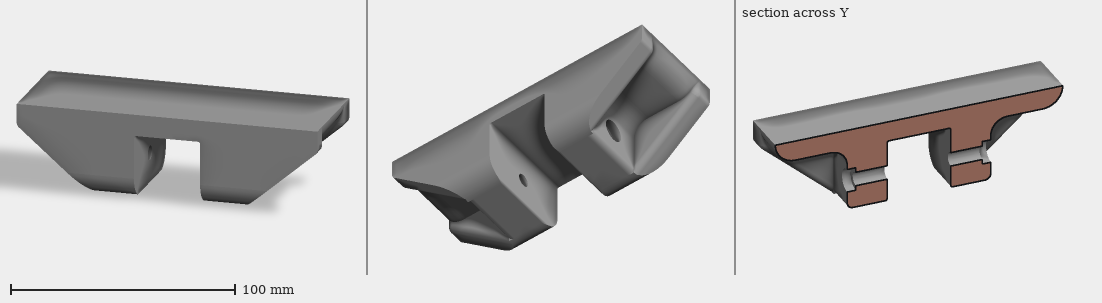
import cadquery as cq

length = 140.0
width = 50.0
height = 40.0
half_length = length / 2
half_width = width / 2

slab_thickness = 10.0
end_height = 10.1
foot_half_length = 35.0
end_corner_radius = 2.8
bottom_side_radius = 10.0

slot_half_width = 15.4
slot_corner_radius = 1.0
selection_margin = 1.4

pocket_half_width = half_width - bottom_side_radius
rim_radius = 3.0
pocket_wall_x = foot_half_length
ceiling_nose_radius = slab_thickness
ceiling_inner_radius = 8.0

hole_diameter = 6.6
counterbore_diameter = 11.2
counterbore_depth = 4.2
hole_z = -25.8


def side_prism(outline, y_min, y_max):
    """Extrude a closed XZ outline between two Y positions."""
    return outline.extrude(y_max - y_min).translate((0, y_max, 0))


def make_center():
    """Slab and two webs between the pocket walls, with the central slot."""
    block = cq.Workplane("XY").box(2 * pocket_wall_x, width, height, centered=(True, True, False))
    block = block.translate((0, 0, -height))
    slot_height = height - slab_thickness
    slot = cq.Workplane("XY").box(2 * slot_half_width, width, slot_height, centered=(True, True, False))
    block = block.cut(slot.translate((0, 0, -height)))
    slot_edges = cq.selectors.BoxSelector(
        (-slot_half_width - selection_margin, -width, -height - selection_margin),
        (slot_half_width + selection_margin, width, -slab_thickness + selection_margin),
    )
    block = block.edges("|Y").edges(slot_edges).fillet(slot_corner_radius)
    wedge_outline = (
        cq.Workplane("XZ")
        .moveTo(-pocket_wall_x, -height)
        .lineTo(-pocket_wall_x, -height + rim_radius)
        .radiusArc((-pocket_wall_x + rim_radius, -height), -rim_radius)
        .close()
    )
    wedge = side_prism(wedge_outline, -pocket_half_width, pocket_half_width)
    return block.cut(wedge).cut(wedge.mirror("YZ"))


def make_cheek():
    """Side cheek at the -X, +Y corner, with its sloping inner rim rounded."""
    slope = (height - end_height) / (half_length - foot_half_length)
    slope_end_z = -end_height - slope * (half_length - slot_half_width)
    outline = (
        cq.Workplane("XZ")
        .moveTo(-half_length, 0)
        .lineTo(-slot_half_width, 0)
        .lineTo(-slot_half_width, slope_end_z)
        .lineTo(-half_length, -end_height)
        .close()
    )
    cheek = side_prism(outline, pocket_half_width, half_width)
    cheek_mid_y = (pocket_half_width + half_width) / 2
    corner = cq.selectors.NearestToPointSelector((-half_length, cheek_mid_y, -end_height))
    cheek = cheek.edges("|Y").edges(corner).fillet(end_corner_radius)
    end_edge = cq.selectors.NearestToPointSelector((-half_length, pocket_half_width, -end_height / 2))
    cheek = cheek.edges(end_edge).fillet(rim_radius)
    trim = cq.Workplane("XY").box(half_length - pocket_wall_x, width, height, centered=False)
    return cheek.intersect(trim.translate((-half_length, 0, -height)))


def make_ceiling():
    """Pocket ceiling at the -X end, curving up to the tip and down to the web."""
    outline = (
        cq.Workplane("XZ")
        .moveTo(-half_length, 0)
        .radiusArc((-half_length + ceiling_nose_radius, -slab_thickness), -ceiling_nose_radius)
        .lineTo(-pocket_wall_x - ceiling_inner_radius, -slab_thickness)
        .radiusArc((-pocket_wall_x, -slab_thickness - ceiling_inner_radius), ceiling_inner_radius)
        .lineTo(-pocket_wall_x, 0)
        .close()
    )
    reach = pocket_half_width + rim_radius
    return side_prism(outline, -reach, reach)


def make_envelope():
    """Full-length block with its two long bottom edges rounded."""
    block = cq.Workplane("XY").box(length, width, height, centered=(True, True, False))
    return block.translate((0, 0, -height)).edges("|X and <Z").fillet(bottom_side_radius)


def make_holes():
    """Through hole along X with a counterbore in each pocket wall."""
    start = cq.Workplane("YZ", origin=(-pocket_wall_x, 0, hole_z))
    tool = start.circle(hole_diameter / 2).extrude(2 * pocket_wall_x)
    bore = start.circle(counterbore_diameter / 2).extrude(counterbore_depth)
    return tool.union(bore).union(bore.mirror("YZ"))


cheek = make_cheek()
end = make_ceiling().union(cheek).union(cheek.mirror("XZ"))
body = make_center().union(end).union(end.mirror("YZ"))
result = body.intersect(make_envelope()).cut(make_holes())